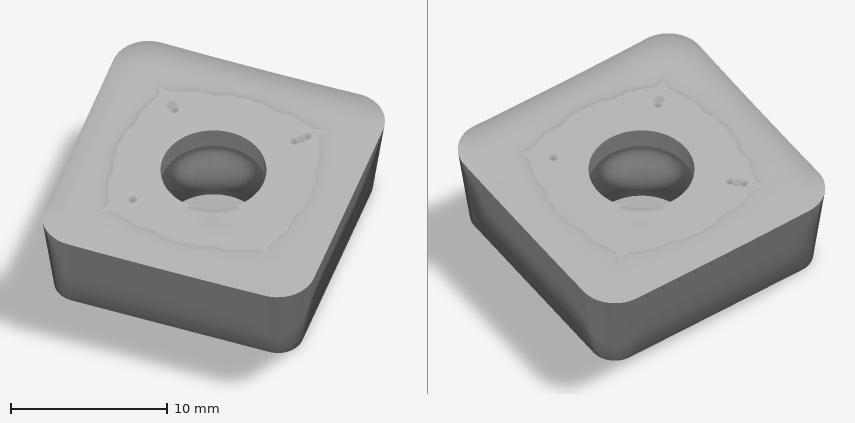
import cadquery as cq
import math

width = 18.29
height = 6.25
clearance_angle = 7.0
corner_centre = 6.71
trim_margin = 0.18

side_dip = 0.1

land_height = 6.16
land_burial = 0.004
land_root_depth = 0.37
land_foot = [(0.22, 6.65), (0.45, 6.58), (1.19, 6.58), (2.03, 6.24), (3.2, 6.24), (4.77, 5.65), (5.07, 5.63)]
land_brow = [(0.22, 6.42), (0.62, 6.31), (1.19, 6.33), (2.0, 6.02), (3.16, 6.02), (4.8, 5.43), (5.07, 5.41)]
foot_spike = 6.13
brow_spike = 5.63

bore_radius = 6.79 / 2
lip_depth = 1.5
seat_radius = 6.22
seat_end = 1.06
seat_top = land_height - lip_depth

small_radius = 0.31
small_floor_radius = 0.16
large_radius = 0.4
large_floor_radius = 0.18
dimple_depth = 0.07
tip_depth = 0.05
inner_mark = 4.08
middle_mark = 4.39
outer_mark = 4.7

slope = math.tan(math.radians(clearance_angle))
corner_reach = corner_centre * math.sqrt(2) + width / 2 - corner_centre
chord_difference = corner_reach**2 - (width / 2) ** 2
dish_radius = (chord_difference + side_dip**2) / (2 * side_dip)


def dish_height(distance):
    """Height of the dished top at a distance from the vertical axis."""
    return height - (corner_reach**2 - distance**2) / (2 * dish_radius)


def turned(profile):
    """Solid of revolution of an open XZ profile about the vertical axis."""
    return profile.close().revolve(360, (0, 0, 0), (0, 1, 0))


def block():
    """Tapered block with the dish cut into its top; the full width is reached where corner and side meet."""
    widest_height = dish_height(math.hypot(width / 2, corner_centre))
    base_width = width - 2 * widest_height * slope
    base_radius = base_width / 2 - corner_centre
    base = cq.Sketch().rect(base_width, base_width).vertices().fillet(base_radius)
    body = cq.Workplane("XY").placeSketch(base).extrude(height + trim_margin, taper=-clearance_angle)
    ball = cq.Workplane("XY").sphere(dish_radius).translate((0, 0, dish_height(0) + dish_radius))
    return body.cut(ball)


def land_outline(eighth, spike):
    """Full closed outline, from the eighth of it next to the middle of the +Y side."""
    side = [(-x, y) for x, y in reversed(eighth)] + eighth + [(spike, spike)]
    points = []
    for quarter in range(4):
        for x, y in side:
            points.append((x, y))
        side = [(y, -x) for x, y in side]
    return points


def land():
    """Bevelled land on a root that reaches down into the block."""
    foot = land_outline(land_foot, foot_spike)
    brow = land_outline(land_brow, brow_spike)
    foot_height = dish_height(math.hypot(*land_foot[0])) - land_burial
    rise = land_height - foot_height
    foot_wire = cq.Workplane("XY").workplane(offset=foot_height).polyline(foot).close()
    bevel = foot_wire.workplane(offset=rise).polyline(brow).close().loft(ruled=True)
    root = (
        cq.Workplane("XY").workplane(offset=foot_height - land_root_depth)
        .polyline(foot).close().extrude(land_root_depth)
    )
    return root.union(bevel)


def seat_point(z):
    """Point (radius, height) of the seat arc, which runs tangent into the lower bore."""
    drop = z - seat_end
    return (bore_radius + seat_radius - math.sqrt(seat_radius**2 - drop**2), z)


def hole():
    """Bore and seat as one cutting solid."""
    bore = cq.Workplane("XY").circle(bore_radius).extrude(height)
    seat = (
        cq.Workplane("XZ").moveTo(0, seat_end).lineTo(bore_radius, seat_end)
        .threePointArc(seat_point((seat_end + seat_top) / 2), seat_point(seat_top))
        .lineTo(0, seat_top)
    )
    return bore.union(turned(seat))


def dimple(position, radius, floor_radius, tip=0):
    """Tapered round dimple; a tip deepens its floor to a shallow cone."""
    floor = land_height - dimple_depth
    profile = [(0, land_height), (radius, land_height), (floor_radius, floor), (0, floor - tip)]
    cone = turned(cq.Workplane("XZ").polyline(profile))
    return cone.translate((*position, 0))


result = block().union(land()).cut(hole())

for x_side, y_side, small_marks, large_marks in [
    (-1, -1, [inner_mark], []),
    (-1, 1, [inner_mark], [middle_mark]),
    (1, 1, [inner_mark, outer_mark], [middle_mark]),
]:
    for distance in small_marks:
        place = (x_side * distance, y_side * distance)
        result = result.cut(dimple(place, small_radius, small_floor_radius, tip_depth))
    for distance in large_marks:
        place = (x_side * distance, y_side * distance)
        result = result.cut(dimple(place, large_radius, large_floor_radius))